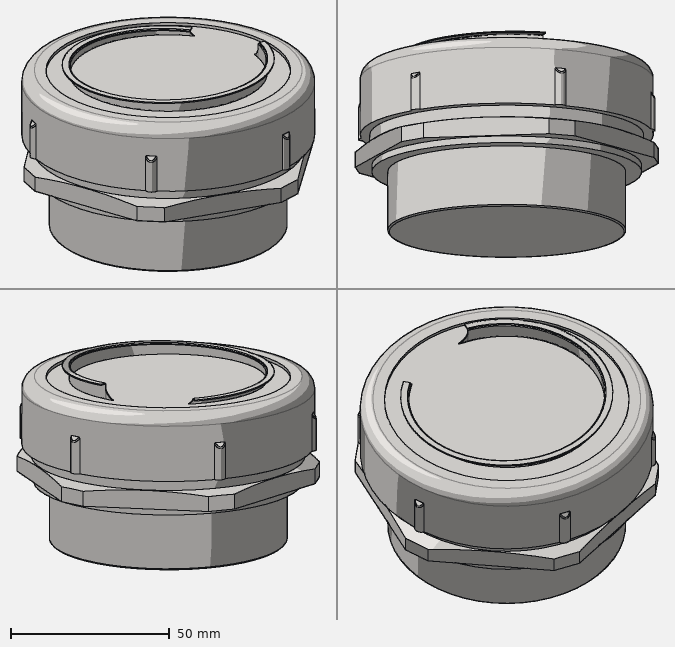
import cadquery as cq
import math

spigot_top = 19.3
collar_top = 21.4
hex_top = 27.5
cap_bottom = 31.2
cap_top = 53.2
overall_height = 57.5

spigot_diameter = 75.0
spigot_chamfer = 0.5
collar_diameter = 85.0
neck_diameter = 86.4
cap_diameter = 92.4
cap_fillet = 4.0

recess_diameter = 77.0
recess_depth = 0.95
recess_floor = cap_top - recess_depth

hex_across_flats = 86.85
hex_across_corner_flats = 95.2
hex_cone_angle = 15.0

rib_count = 6
rib_radius = 2.1
rib_reach = 47.2
rib_top = 43.2
rib_bevel_height = 1.5
rib_edge_chamfer = 0.3

wall_inner_radius = 30.9
wall_thickness = 0.4
flange_outer_radius = 33.4
flange_thickness = 0.4
lip_bevel_width = 0.5
lip_bevel_height = 0.6
lip_pitch = 4.0
lip_high_angle = 90.0
lip_low_angle = 143.8 - 360.0
high_end_web = 3.0
low_end_web = 1.4
web_arc_middle = 0.4
lip_embed = 0.5


def cylinder(diameter, bottom, top):
    """Upright cylinder on the Z axis between two heights."""
    return cq.Workplane("XY").workplane(offset=bottom).circle(diameter / 2).extrude(top - bottom)


def make_cap():
    """Cap with a rounded upper rim and a shallow round recess in its top."""
    cap = cylinder(cap_diameter, cap_bottom, cap_top).faces(">Z").edges().fillet(cap_fillet)
    return cap.cut(cylinder(recess_diameter, recess_floor, cap_top))


def hex_prism(across_flats):
    """Hexagonal prism filling the wrench section, with two flats facing +X and -X."""
    corner_diameter = across_flats / math.cos(math.radians(30))
    prism = cq.Workplane("XY").workplane(offset=collar_top).polygon(6, corner_diameter)
    return prism.extrude(hex_top - collar_top).rotate((0, 0, 0), (0, 0, 1), 30)


def make_wrench_section():
    """Hexagon with flattened corners and a shallow conical upper side."""
    corner_flats = hex_prism(hex_across_corner_flats).rotate((0, 0, 0), (0, 0, 1), 30)
    neck_radius = neck_diameter / 2
    cone_radius = hex_across_corner_flats / math.sqrt(3)
    cone_drop = (cone_radius - neck_radius) * math.tan(math.radians(hex_cone_angle))
    cone = (
        cq.Workplane("XZ")
        .moveTo(0, collar_top)
        .lineTo(cone_radius, collar_top)
        .lineTo(cone_radius, hex_top - cone_drop)
        .lineTo(neck_radius, hex_top)
        .lineTo(0, hex_top)
        .close()
        .revolve(360, (0, 0, 0), (0, 1, 0))
    )
    return hex_prism(hex_across_flats).intersect(corner_flats).intersect(cone)


def make_rib(angle):
    """Half-round grip rib whose upper end slopes back into the cap."""
    rib_center = rib_reach - rib_radius
    rib = (
        cq.Workplane("XY")
        .workplane(offset=cap_bottom)
        .center(rib_center, 0)
        .circle(rib_radius)
        .extrude(rib_top - cap_bottom)
    )
    bevel = (
        cq.Workplane("XZ")
        .moveTo(cap_diameter / 2, rib_top)
        .lineTo(rib_reach, rib_top)
        .lineTo(rib_reach, rib_top - rib_bevel_height)
        .close()
        .extrude(rib_radius, both=True)
    )
    beveled_rib = rib.cut(bevel).edges("%ELLIPSE").chamfer(rib_edge_chamfer)
    return beveled_rib.rotate((0, 0, 0), (0, 0, 1), angle)


def make_spiral_lip():
    """Thin wall with an outward flange, swept along a helix that rises counterclockwise."""
    rise = lip_pitch * (lip_high_angle - lip_low_angle) / 360
    low_end_top = overall_height - rise
    wall_outer_radius = wall_inner_radius + wall_thickness
    wall_height = overall_height - recess_floor + lip_embed
    path = cq.Wire.makeHelix(lip_pitch, rise, wall_inner_radius)
    lip = (
        cq.Workplane("XZ")
        .moveTo(wall_inner_radius, -wall_height)
        .lineTo(wall_outer_radius, -wall_height)
        .lineTo(wall_outer_radius, -flange_thickness)
        .lineTo(flange_outer_radius, -flange_thickness)
        .lineTo(flange_outer_radius, 0)
        .lineTo(wall_inner_radius + lip_bevel_width, 0)
        .lineTo(wall_inner_radius, -lip_bevel_height)
        .close()
        .sweep(cq.Workplane(path), isFrenet=True)
    )
    return lip.rotate((0, 0, 0), (0, 0, 1), lip_low_angle).translate((0, 0, low_end_top))


def make_end_web(size, angle, direction):
    """Concave web running straight off a wall end down to the recess floor."""
    arc_middle = size * web_arc_middle
    web = (
        cq.Workplane("YZ")
        .workplane(offset=wall_inner_radius)
        .moveTo(0, recess_floor - lip_embed)
        .lineTo(direction * size, recess_floor - lip_embed)
        .lineTo(direction * size, recess_floor)
        .threePointArc(
            (direction * arc_middle, recess_floor + arc_middle),
            (0, recess_floor + size),
        )
        .close()
        .extrude(wall_thickness)
    )
    return web.rotate((0, 0, 0), (0, 0, 1), angle)


spigot = cylinder(spigot_diameter, 0, spigot_top).faces("<Z").chamfer(spigot_chamfer)
body = spigot.union(cylinder(collar_diameter, spigot_top, collar_top))
body = body.union(make_wrench_section())
body = body.union(cylinder(neck_diameter, hex_top, cap_bottom))
body = body.union(make_cap())

for index in range(rib_count):
    body = body.union(make_rib(90 + index * 360 / rib_count))

body = body.union(make_spiral_lip())
body = body.union(make_end_web(high_end_web, lip_high_angle, 1))
body = body.union(make_end_web(low_end_web, lip_low_angle, -1))

result = body